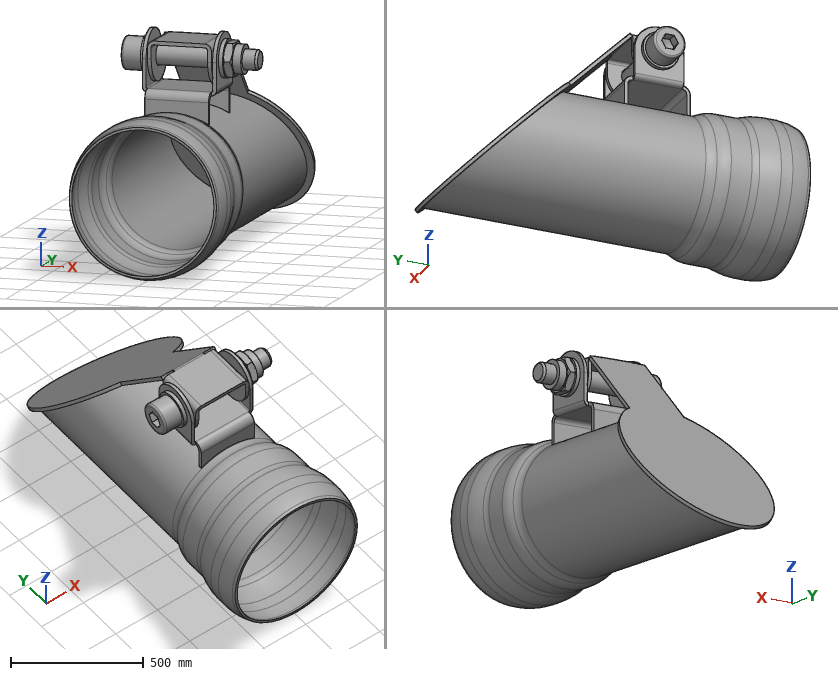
import cadquery as cq
import math


wall = 10.0
tube_radius = 530.0 / 2
neck_radius = 578.0 / 2
socket_radius = 618.0 / 2
lip_radius = 292.0
lip_end = 12.0
socket_start = 81.0
socket_end = 129.0
socket_join = 212.0
neck_start = 242.0
neck_end = 327.0
neck_join = 381.0
tube_start = 422.0

sheet = 15.0
hinge_y = 562.0
hinge_z = 467.0
ear_radius = 101.5
arm_half_width = 126.7
pivot_hole_diameter = 85.0

saddle_half_length = 136.0
saddle_top = 353.0
leg_bend = saddle_half_length - ear_radius
ear_outer = 147.0
ear_bend = ear_outer - arm_half_width

clevis_top = 536.0
clevis_bend = 27.0
flap_end = 1482.0
disc_half_width = 295.0
disc_half_length = 410.0
tongue_width = 145.0
tongue_inner_bend = 1.0
tongue_bend = tongue_inner_bend + sheet
flap_angle = 45
slope = math.sqrt(2)
clevis_face = hinge_y + ear_radius
bend_z = clevis_top - tongue_bend
flap_sum = clevis_face + bend_z + tongue_bend * slope
seat_sum = flap_sum - sheet * slope

shank_diameter = 80.0
shank_end = 289.0
tip_diameter = 67.0
tip_length = 9.6
head_diameter = 130.0
head_length = 81.0
head_round = 8.1
key_flats = 60.0
key_depth = 40.0
washer_diameter = 150.0
washer_hole_diameter = 81.0
washer_thickness = 16.0
nut_flats = 130.0
nut_hex_length = 34.0
nut_length = 67.0
nut_collar_diameter = 115.0
corner_angle = math.radians(30)

bolt_seat = ear_outer + washer_thickness


def pivot_plane(x):
    """Plane across the pivot axis at x, looking along +X, with local x along Y."""
    return cq.Workplane("YZ", origin=(x, hinge_y, hinge_z))


def pivot_cylinder(x_start, x_end, diameter):
    return pivot_plane(x_start).circle(diameter / 2).extrude(x_end - x_start)


def hex_prism(x_start, x_end, flats):
    """Hexagonal prism on the pivot axis, with its corners pointing along Y."""
    corner_diameter = flats / math.cos(corner_angle)
    return pivot_plane(x_start).polygon(6, corner_diameter).extrude(x_end - x_start)


def pivot_revolve(points):
    """Revolve (x, radius) points about the pivot axis."""
    profile = cq.Workplane("XY", origin=(0, hinge_y, hinge_z)).polyline(points).close()
    return profile.revolve(360, (0, 0, 0), (1, 0, 0))


def s_curve_radius(y_start, y_join, y_end, r_start, r_end):
    """Radius at the inflection of two tangent arcs, which lies on the line between their ends."""
    return r_start + (r_end - r_start) * (y_join - y_start) / (y_end - y_start)


def mouth_arc_radius():
    """Outer radius where the mouth's arc runs almost tangentially into its conical lip."""
    arc_length = socket_start - lip_end
    drop = socket_radius - lip_radius
    return socket_radius - drop * arc_length / (arc_length + 2 * lip_end)


def tube_body(inset):
    """Solid of revolution of the tube's outline, with every radius reduced by inset."""
    socket_join_radius = s_curve_radius(socket_end, socket_join, neck_start, socket_radius, neck_radius)
    neck_join_radius = s_curve_radius(neck_end, neck_join, tube_start, neck_radius, tube_radius)
    mouth_radius = mouth_arc_radius()
    profile = (
        cq.Workplane("XY")
        .moveTo(tube_radius - inset, flap_end)
        .lineTo(tube_radius - inset, tube_start)
        .tangentArcPoint((neck_join_radius - inset, neck_join), relative=False)
        .tangentArcPoint((neck_radius - inset, neck_end), relative=False)
        .lineTo(neck_radius - inset, neck_start)
        .tangentArcPoint((socket_join_radius - inset, socket_join), relative=False)
        .tangentArcPoint((socket_radius - inset, socket_end), relative=False)
        .lineTo(socket_radius - inset, socket_start)
        .tangentArcPoint((mouth_radius - inset, lip_end), relative=False)
        .lineTo(lip_radius - inset, 0)
        .lineTo(0, 0)
        .lineTo(0, flap_end)
        .close()
    )
    return profile.revolve(360, (0, 0, 0), (0, 1, 0))


def make_tube():
    tube = tube_body(0).cut(tube_body(wall))
    reach = 2 * flap_end
    beyond_flap = (
        cq.Workplane("YZ")
        .polyline([(seat_sum - reach, reach), (reach, reach), (reach, seat_sum - reach)])
        .close()
        .extrude(flap_end, both=True)
    )
    return tube.cut(beyond_flap)


def make_saddle():
    """Bracket with two legs bent down onto the tube and two ears bent up around the clevis."""
    leg_sheet = (
        cq.Workplane("XY", origin=(0, hinge_y, 0))
        .rect(2 * arm_half_width, 2 * saddle_half_length)
        .extrude(saddle_top)
        .edges("|X and >Z")
        .fillet(leg_bend)
    )
    leg_space = (
        cq.Workplane("XY", origin=(0, hinge_y, 0))
        .rect(2 * arm_half_width, 2 * (saddle_half_length - sheet))
        .extrude(saddle_top - sheet)
        .edges("|X and >Z")
        .fillet(leg_bend - sheet)
    )
    tube_space = cq.Workplane("XZ").circle(tube_radius).extrude(-flap_end)
    legs = leg_sheet.cut(leg_space).cut(tube_space)

    ear_bottom = saddle_top - sheet
    ear_height = hinge_z + ear_radius - ear_bottom
    ear_sheet = (
        cq.Workplane("XY", origin=(0, hinge_y, ear_bottom))
        .rect(2 * ear_outer, 2 * ear_radius)
        .extrude(ear_height)
        .edges("|Y and <Z")
        .fillet(ear_bend)
    )
    ear_space = (
        cq.Workplane("XY", origin=(0, hinge_y, saddle_top))
        .rect(2 * (ear_outer - sheet), 2 * ear_radius)
        .extrude(ear_height)
        .edges("|Y and <Z")
        .fillet(ear_bend - sheet)
    )
    ear_outline = (
        pivot_plane(-ear_outer)
        .moveTo(-ear_radius, 0)
        .threePointArc((0, ear_radius), (ear_radius, 0))
        .lineTo(ear_radius, ear_bottom - hinge_z)
        .lineTo(-ear_radius, ear_bottom - hinge_z)
        .close()
        .extrude(2 * ear_outer)
    )
    ears = ear_sheet.cut(ear_space).intersect(ear_outline)
    pivot_hole = pivot_cylinder(-ear_outer, ear_outer, pivot_hole_diameter)
    return legs.union(ears).cut(pivot_hole)


def make_clevis():
    """Inverted U that the pivot bolt passes through; its flanges are round at the bottom."""
    clevis_bottom = hinge_z - ear_radius
    clevis_height = clevis_top - clevis_bottom
    outside = (
        cq.Workplane("XY", origin=(0, hinge_y, clevis_bottom))
        .rect(2 * arm_half_width, 2 * ear_radius)
        .extrude(clevis_height)
        .edges("|Y and >Z")
        .fillet(clevis_bend)
    )
    inside = (
        cq.Workplane("XY", origin=(0, hinge_y, clevis_bottom))
        .rect(2 * (arm_half_width - sheet), 2 * ear_radius)
        .extrude(clevis_height - sheet)
        .edges("|Y and >Z")
        .fillet(clevis_bend - sheet)
    )
    flange_outline = (
        pivot_plane(-arm_half_width)
        .moveTo(-ear_radius, 0)
        .threePointArc((0, -ear_radius), (ear_radius, 0))
        .lineTo(ear_radius, clevis_top - hinge_z)
        .lineTo(-ear_radius, clevis_top - hinge_z)
        .close()
        .extrude(2 * arm_half_width)
    )
    pivot_hole = pivot_cylinder(-arm_half_width, arm_half_width, pivot_hole_diameter)
    return outside.cut(inside).intersect(flange_outline).cut(pivot_hole)


def bend_point(radius, angle):
    """Point (Y, Z) of the tongue's bend, with the angle measured from its clevis end."""
    turn = math.radians(angle)
    return clevis_face + radius * math.sin(turn), bend_z + radius * math.cos(turn)


def make_tongue():
    """Narrow bent strip that joins the clevis to the arm."""
    return (
        cq.Workplane("YZ")
        .moveTo(*bend_point(tongue_bend, 0))
        .threePointArc(bend_point(tongue_bend, flap_angle / 2), bend_point(tongue_bend, flap_angle))
        .lineTo(*bend_point(tongue_inner_bend, flap_angle))
        .threePointArc(bend_point(tongue_inner_bend, flap_angle / 2), bend_point(tongue_inner_bend, 0))
        .close()
        .extrude(tongue_width / 2, both=True)
    )


def make_flap():
    """Sloping elliptical disc and arm, with the clevis bent from the end of the arm."""
    disc_y = flap_end - disc_half_length / slope
    top_face = cq.Plane(origin=(0, disc_y, flap_sum - disc_y), xDir=(1, 0, 0), normal=(0, 1, 1))
    disc = cq.Workplane(top_face).ellipse(disc_half_width, disc_half_length).extrude(-sheet)
    arm_end_y, _ = bend_point(tongue_bend, flap_angle)
    arm_length = (disc_y - arm_end_y) * slope
    arm = (
        cq.Workplane(top_face)
        .center(0, -arm_length / 2)
        .rect(2 * arm_half_width, arm_length)
        .extrude(-sheet)
    )
    return disc.union(arm).union(make_tongue()).union(make_clevis())


def make_bolt():
    """Socket head bolt along +X with a bevelled tip."""
    head_face = -bolt_seat - head_length
    shank = pivot_cylinder(-bolt_seat, shank_end, shank_diameter)
    shank = shank.faces(">X").chamfer(tip_length, (shank_diameter - tip_diameter) / 2)
    head = pivot_cylinder(head_face, -bolt_seat, head_diameter).faces("<X").edges().fillet(head_round)
    key_corner_radius = key_flats / 2 / math.cos(corner_angle)
    cone_depth = key_corner_radius * math.tan(corner_angle)
    key_floor = head_face + key_depth
    key_socket = hex_prism(head_face, key_floor + cone_depth, key_flats)
    key_limit = pivot_revolve([
        (head_face, 0),
        (head_face, key_corner_radius),
        (key_floor, key_corner_radius),
        (key_floor + cone_depth, 0),
    ])
    return head.union(shank).cut(key_socket.intersect(key_limit))


def make_washer(x_start):
    disc = pivot_cylinder(x_start, x_start + washer_thickness, washer_diameter)
    return disc.cut(pivot_cylinder(x_start, x_start + washer_thickness, washer_hole_diameter))


def make_nut():
    """Hexagon nut with bevelled corners and a round collar on its outer side."""
    hex_end = bolt_seat + nut_hex_length
    face_radius = nut_flats / 2
    corner_radius = face_radius / math.cos(corner_angle)
    bevel = (corner_radius - face_radius) * math.tan(corner_angle)
    hexagon = hex_prism(bolt_seat, hex_end, nut_flats)
    bevel_limit = pivot_revolve([
        (bolt_seat, 0),
        (bolt_seat, face_radius),
        (bolt_seat + bevel, corner_radius),
        (hex_end - bevel, corner_radius),
        (hex_end, face_radius),
        (hex_end, 0),
    ])
    collar = pivot_cylinder(bolt_seat, bolt_seat + nut_length, nut_collar_diameter)
    bore = pivot_cylinder(bolt_seat, bolt_seat + nut_length, shank_diameter)
    return hexagon.intersect(bevel_limit).union(collar).cut(bore)


tube = make_tube()
saddle = make_saddle()
flap = make_flap()
bolt = make_bolt()
washers = [make_washer(x_start) for x_start in (-bolt_seat, ear_outer)]
nut = make_nut()

result = cq.Compound.makeCompound([
    tube.solids().val(),
    saddle.solids().val(),
    flap.solids().val(),
    bolt.solids().val(),
    *[washer.solids().val() for washer in washers],
    nut.solids().val(),
])